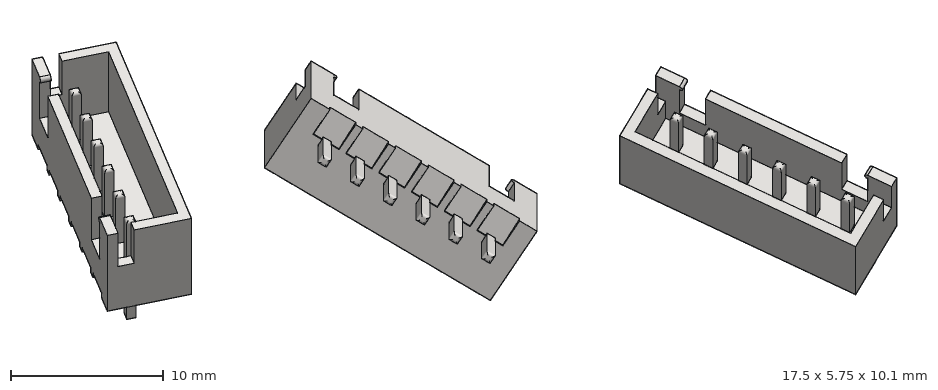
import cadquery as cq

length = 17.5
depth = 5.75
body_height = 6.86
end_wall = 0.75
long_wall = 0.74
floor_thickness = 1.44

pin_count = 6
pin_pitch = 2.54
pin_width = 0.65
pin_row_offset = 0.05
pin_y = 2.24
pin_below = 3.22
pin_top_gap = 1.2
pin_tip_radius = 0.2

side_slot_width = 1.1
side_slot_depth = 3.01
front_slot_inset = 1.77
front_slot_width = 1.92
front_slot_depth = 3.75
latch_radius = 0.25
latch_setback = 0.02

notch_width = 2.0
notch_height = 0.42
notch_depth = 2.06
notch_back_height = 0.14

pin_positions = [pin_row_offset + (i - (pin_count - 1) / 2) * pin_pitch for i in range(pin_count)]


def box(x_size, y_range, z_range, x_centre=0.0):
    """Box centred on x_centre that spans the given y and z ranges."""
    y0, y1 = y_range
    z0, z1 = z_range
    corner = (x_centre - x_size / 2, y0, z0)
    return cq.Workplane("XY").box(x_size, y1 - y0, z1 - z0, centered=False).translate(corner)


def housing():
    """Box with its cavity, side slots and front slots."""
    shell = box(length, (0, depth), (0, body_height))
    cavity = box(length - 2 * end_wall, (long_wall, depth - long_wall), (floor_thickness, body_height))
    side_slot_y = (long_wall, long_wall + side_slot_width)
    side_slots = box(length, side_slot_y, (body_height - side_slot_depth, body_height))
    shell = shell.cut(cavity).cut(side_slots)
    slot_centre = length / 2 - front_slot_inset - front_slot_width / 2
    slot_z = (body_height - front_slot_depth, body_height)
    for side in (-1, 1):
        shell = shell.cut(box(front_slot_width, (0, long_wall), slot_z, side * slot_centre))
    return shell


def latch(side):
    """Rounded bead along the top of a front slot's outer edge."""
    x = side * (length / 2 - front_slot_inset + latch_setback)
    bead = cq.Workplane("XZ").center(x, body_height - latch_radius).circle(latch_radius)
    return bead.extrude(-long_wall)


def notch(x):
    """Relief that opens at the front and has a roof sloping down just past the front of the pin."""
    profile = [(0, 0), (notch_depth, 0), (notch_depth, notch_back_height), (0, notch_height)]
    start = x - notch_width / 2
    return cq.Workplane("YZ").workplane(offset=start).polyline(profile).close().extrude(notch_width)


def pin(x):
    """Square pin with rounded end edges."""
    y_range = (pin_y - pin_width / 2, pin_y + pin_width / 2)
    bar = box(pin_width, y_range, (-pin_below, body_height - pin_top_gap), x)
    return bar.faces("<Z or >Z").edges().fillet(pin_tip_radius)


result = housing()
for side in (-1, 1):
    result = result.union(latch(side))
for x in pin_positions:
    result = result.cut(notch(x)).union(pin(x))